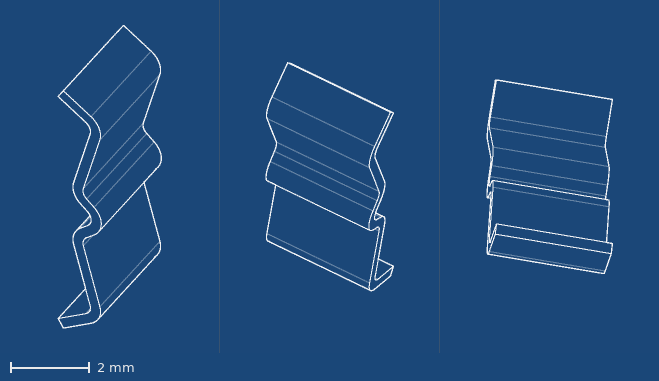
import cadquery as cq
import math

height = 7.88
depth = 1.28
width = 3.0
thickness = 0.3
bend_radius = 0.45

lip_angle = 32.0
arm_angle = 75.0
crest_angle = 40.0
knee_height = 3.13

half_thickness = thickness / 2


def direction(degrees):
    """Unit vector in the XZ plane at an angle from +X."""
    angle = math.radians(degrees)
    return math.cos(angle), math.sin(angle)


lip_cos, lip_sin = direction(lip_angle)
tip = (half_thickness * lip_sin, height / 2 - half_thickness * lip_cos)
knee = (tip[0] + (tip[1] - knee_height) / math.tan(math.radians(lip_angle)), knee_height)

crest_cos, crest_sin = direction(crest_angle)
crest = (depth - half_thickness - bend_radius + bend_radius / crest_sin, 0.0)

arm_run = 1 / math.tan(math.radians(arm_angle))
crest_run = crest_cos / crest_sin
waist_height = (crest[0] - knee[0] + arm_run * knee_height) / (arm_run + crest_run)
waist = (crest[0] - crest_run * waist_height, waist_height)

upper_half = [tip, knee, waist]
lower_half = [(x, -z) for x, z in reversed(upper_half)]
mid_line = upper_half + [crest] + lower_half


def unit(start, end):
    """Unit vector from start to end."""
    length = math.dist(start, end)
    return (end[0] - start[0]) / length, (end[1] - start[1]) / length


def bend_arc(before, corner, after, offset):
    """Start, middle and end of a bend's arc, offset to the left of the mid-line."""
    u = unit(before, corner)
    v = unit(corner, after)
    turn = math.atan2(u[0] * v[1] - u[1] * v[0], u[0] * v[0] + u[1] * v[1])
    side = math.copysign(1, turn)
    setback = bend_radius * math.tan(abs(turn) / 2)
    center_x = corner[0] - setback * u[0] - side * bend_radius * u[1]
    center_z = corner[1] - setback * u[1] + side * bend_radius * u[0]
    radius = bend_radius - side * offset
    start_angle = math.atan2(-side * u[0], side * u[1])
    angles = [start_angle, start_angle + turn / 2, start_angle + turn]
    return [(center_x + radius * math.cos(a), center_z + radius * math.sin(a)) for a in angles]


def end_point(point, heading, offset):
    """Corner of a square-cut strip end, offset to the left of the heading."""
    return point[0] - offset * heading[1], point[1] + offset * heading[0]


def strip_profile():
    """Closed outline: along the left side of the strip and back along the right."""
    first_heading = unit(mid_line[0], mid_line[1])
    last_heading = unit(mid_line[-2], mid_line[-1])
    bends = list(zip(mid_line, mid_line[1:], mid_line[2:]))
    outline = cq.Workplane("XZ").moveTo(*end_point(mid_line[0], first_heading, half_thickness))
    for bend in bends:
        start, middle, end = bend_arc(*bend, half_thickness)
        outline = outline.lineTo(*start).threePointArc(middle, end)
    outline = outline.lineTo(*end_point(mid_line[-1], last_heading, half_thickness))
    outline = outline.lineTo(*end_point(mid_line[-1], last_heading, -half_thickness))
    for bend in reversed(bends):
        start, middle, end = bend_arc(*bend, -half_thickness)
        outline = outline.lineTo(*end).threePointArc(middle, start)
    outline = outline.lineTo(*end_point(mid_line[0], first_heading, -half_thickness))
    return outline.close()


result = strip_profile().extrude(width / 2, both=True)